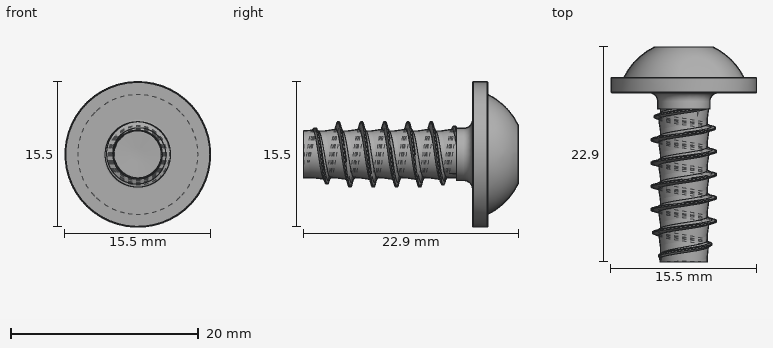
import cadquery as cq
import math


length = 22.9
shank_length = 18.0
flange_diameter = 15.5
flange_radius = flange_diameter / 2
flange_thickness = 1.65
flange_chamfer = 0.1
dome_base_radius = 6.4
dome_top_radius = 3.07
head_height = length - shank_length

collar_radius = 2.8
collar_fillet = 0.9
collar_length = 1.72
core_radius = 2.5
tip_recess_radius = 2.31
tip_recess_depth = 0.11

pitch = 2.47
crest_radius = 3.48
crest_half_width = 0.07
shoulder_radius = 3.0
shoulder_offset = 0.15
head_foot_offset = 0.5
tip_foot_radius = 2.68
tip_foot_offset = 0.27
flare_end_radius = 2.47
flare_end_offset = 1.7
buried_radius = 2.38

full_thread_start = 4.37
full_thread_turns = 4
run_in_turns = 1.4
run_in_crest = 2.86
run_in_shoulder = 2.52
run_out_turns = 1.3
run_out_crest = 2.63
run_out_shoulder = 2.47
run_out_foot = 2.56
start_angle = 90.0


def make_body():
    """Revolve the head, collar and plain core with its conical tip recess."""
    dome_height = head_height - flange_thickness
    sphere_depth = (dome_base_radius**2 - dome_top_radius**2 - dome_height**2) / (2 * dome_height)
    sphere_radius = math.hypot(dome_base_radius, sphere_depth)
    dome_mid_height = dome_height / 2
    dome_mid_radius = math.sqrt(sphere_radius**2 - (sphere_depth + dome_mid_height)**2)

    fillet_mid = collar_fillet * (1 - math.sqrt(0.5))
    chamfered_radius = flange_radius - flange_chamfer
    profile = (
        cq.Workplane("XZ")
        .moveTo(0, -head_height)
        .lineTo(dome_top_radius, -head_height)
        .threePointArc(
            (dome_mid_radius, -flange_thickness - dome_mid_height),
            (dome_base_radius, -flange_thickness),
        )
        .lineTo(chamfered_radius, -flange_thickness)
        .lineTo(flange_radius, flange_chamfer - flange_thickness)
        .lineTo(flange_radius, -flange_chamfer)
        .lineTo(chamfered_radius, 0)
        .lineTo(collar_radius + collar_fillet, 0)
        .threePointArc((collar_radius + fillet_mid, fillet_mid), (collar_radius, collar_fillet))
        .lineTo(collar_radius, collar_length)
        .lineTo(core_radius, collar_length)
        .lineTo(core_radius, shank_length)
        .lineTo(tip_recess_radius, shank_length)
        .lineTo(0, shank_length - tip_recess_depth)
        .close()
    )
    return profile.revolve(360, (0, 0), (0, 1))


def helix(start_radius, end_radius, start, turns, turned):
    """Helical edge from one radius to another, begun at the angle of `turned` turns."""
    base = cq.Vector(0, 0, start)
    height = pitch * turns
    if start_radius == end_radius:
        wire = cq.Wire.makeHelix(pitch, height, start_radius, base)
    else:
        cone_angle = math.atan2(end_radius - start_radius, height)
        slant = 1 / math.cos(cone_angle)
        wire = cq.Wire.makeHelix(
            pitch * slant, height * slant, start_radius, base, angle=math.degrees(cone_angle)
        )
    axis_start = cq.Vector(0, 0, 0)
    axis_end = cq.Vector(0, 0, 1)
    return wire.rotate(axis_start, axis_end, start_angle + 360 * turned).Edges()[0]


def thread_section(crest, shoulder, tip_foot):
    """Corners (radius, offset) of the thread, from its head side to its tip side."""
    return [
        (buried_radius, -head_foot_offset),
        (shoulder, -shoulder_offset),
        (crest, -crest_half_width),
        (crest, crest_half_width),
        (tip_foot, tip_foot_offset),
        (flare_end_radius, flare_end_offset),
        (buried_radius, flare_end_offset),
    ]


def thread_stretch(start_section, end_section, start, turns, turned):
    """Helical edges that join the corners of two sections."""
    return [
        helix(start_radius, end_radius, start + offset, turns, turned)
        for (start_radius, offset), (end_radius, _) in zip(start_section, end_section)
    ]


def end_cap(edges, place):
    """Flat face across one end of a stretch: place 0 is its start and 1 its end."""
    corners = [edge.positionAt(place) for edge in edges]
    return cq.Face.makeFromWires(cq.Wire.makePolygon(corners, close=True))


def make_thread():
    """Run-in, full thread and run-out as one solid, kept between the collar and the tip."""
    full = thread_section(crest_radius, shoulder_radius, tip_foot_radius)
    low_start = thread_section(run_in_crest, run_in_shoulder, tip_foot_radius)
    low_end = thread_section(run_out_crest, run_out_shoulder, run_out_foot)
    run_in_start = full_thread_start - run_in_turns * pitch
    run_out_start = full_thread_start + full_thread_turns * pitch

    run_in = thread_stretch(low_start, full, run_in_start, run_in_turns, -run_in_turns)
    middle = thread_stretch(full, full, full_thread_start, full_thread_turns, 0)
    run_out = thread_stretch(full, low_end, run_out_start, run_out_turns, full_thread_turns)

    faces = [end_cap(run_in, 0), end_cap(run_out, 1)]
    for edges in (run_in, middle, run_out):
        for edge, next_edge in zip(edges, edges[1:] + edges[:1]):
            faces.append(cq.Face.makeRuledSurface(edge, next_edge))
    thread = cq.Solid.makeSolid(cq.Shell.makeShell(faces)).fix()

    room = (
        cq.Workplane("XY", origin=(0, 0, collar_length))
        .circle(flange_radius)
        .extrude(shank_length - collar_length)
    )
    return room.intersect(cq.Workplane(thread))


screw = make_body().union(make_thread())

result = screw.rotate((0, 0, 0), (1, 0, 0), 90)